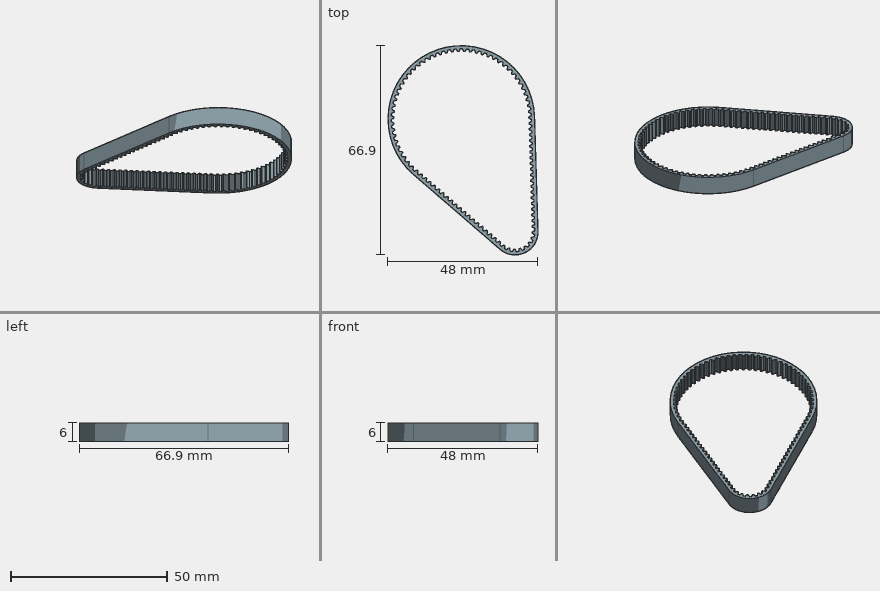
import cadquery as cq
import math

BELT_WIDTH = 6.0
LARGE_RADIUS = 23.46
SMALL_RADIUS = 7.36
SMALL_X = 17.19
SMALL_Y = -36.12

BAND_THICKNESS = 1.08
TOOTH_TIP_DEPTH = 1.9
TOOTH_ROOT_WIDTH = 1.35
TOOTH_TIP_WIDTH = 0.4
TOOTH_OVERLAP = 0.3

LARGE_TEETH = 44
LARGE_PITCH_ANGLE = 5.078
LARGE_FIRST_ANGLE = 4.44
SMALL_TEETH = 8
SMALL_PITCH_ANGLE = 18.0
SMALL_FIRST_ANGLE = 2.7
RUN_TEETH = 20
FIRST_RUN_TOOTH = 0.22

CENTRE_DISTANCE = math.hypot(SMALL_X, SMALL_Y)
AXIS_ANGLE = math.degrees(math.atan2(SMALL_Y, SMALL_X))
WRAP_ANGLE = math.degrees(math.acos((LARGE_RADIUS - SMALL_RADIUS) / CENTRE_DISTANCE))
RUN_LENGTH = CENTRE_DISTANCE * math.sin(math.radians(WRAP_ANGLE))
RUN_PITCH = RUN_LENGTH / RUN_TEETH
SMALL_CENTRE = (SMALL_X, SMALL_Y)
RUN_NORMALS = (AXIS_ANGLE + WRAP_ANGLE, AXIS_ANGLE - WRAP_ANGLE)


def polar(radius, angle, centre=(0.0, 0.0)):
    """Point at the given radius and angle (degrees) about a centre."""
    turn = math.radians(angle)
    return (centre[0] + radius * math.cos(turn), centre[1] + radius * math.sin(turn))


def loop_solid(depth):
    """Solid enclosed by the belt path at a depth inward from the belt back."""
    large = LARGE_RADIUS - depth
    small = SMALL_RADIUS - depth
    first, second = RUN_NORMALS
    return (
        cq.Workplane("XY")
        .moveTo(*polar(large, first))
        .threePointArc(polar(large, AXIS_ANGLE + 180), polar(large, second))
        .lineTo(*polar(small, second, SMALL_CENTRE))
        .threePointArc(polar(small, AXIS_ANGLE, SMALL_CENTRE), polar(small, first, SMALL_CENTRE))
        .close()
        .extrude(BELT_WIDTH)
    )


def tooth(back_point, normal_angle):
    """Trapezoidal tooth below a point of the belt back, pointing against the outward normal."""
    buried_depth = BAND_THICKNESS - TOOTH_OVERLAP
    half_root = TOOTH_ROOT_WIDTH / 2
    half_tip = TOOTH_TIP_WIDTH / 2
    outline = [
        (-buried_depth, -half_root),
        (-BAND_THICKNESS, -half_root),
        (-TOOTH_TIP_DEPTH, -half_tip),
        (-TOOTH_TIP_DEPTH, half_tip),
        (-BAND_THICKNESS, half_root),
        (-buried_depth, half_root),
    ]
    profile = cq.Workplane("XY").polyline(outline).close().extrude(BELT_WIDTH)
    turned = profile.rotate((0, 0, 0), (0, 0, 1), normal_angle)
    return turned.translate((back_point[0], back_point[1], 0)).val()


def pulley_teeth(centre, radius, first_angle, count, pitch_angle):
    """Evenly spaced teeth around one pulley, counterclockwise from the first tooth."""
    angles = [first_angle + i * pitch_angle for i in range(count)]
    return [tooth(polar(radius, angle, centre), angle) for angle in angles]


def run_teeth(normal_angle):
    """Teeth along one straight run, starting at the large pulley."""
    start_x, start_y = polar(LARGE_RADIUS, normal_angle)
    end_x, end_y = polar(SMALL_RADIUS, normal_angle, SMALL_CENTRE)
    teeth = []
    for i in range(RUN_TEETH):
        fraction = (FIRST_RUN_TOOTH + i * RUN_PITCH) / RUN_LENGTH
        x = start_x + fraction * (end_x - start_x)
        y = start_y + fraction * (end_y - start_y)
        teeth.append(tooth((x, y), normal_angle))
    return teeth


band = loop_solid(0).cut(loop_solid(BAND_THICKNESS))

large_first = RUN_NORMALS[0] + LARGE_FIRST_ANGLE
small_first = RUN_NORMALS[1] + SMALL_FIRST_ANGLE
teeth = pulley_teeth((0, 0), LARGE_RADIUS, large_first, LARGE_TEETH, LARGE_PITCH_ANGLE)
teeth += pulley_teeth(SMALL_CENTRE, SMALL_RADIUS, small_first, SMALL_TEETH, SMALL_PITCH_ANGLE)
for normal in RUN_NORMALS:
    teeth += run_teeth(normal)

result = cq.Workplane("XY").newObject([band.val().fuse(*teeth).clean()])